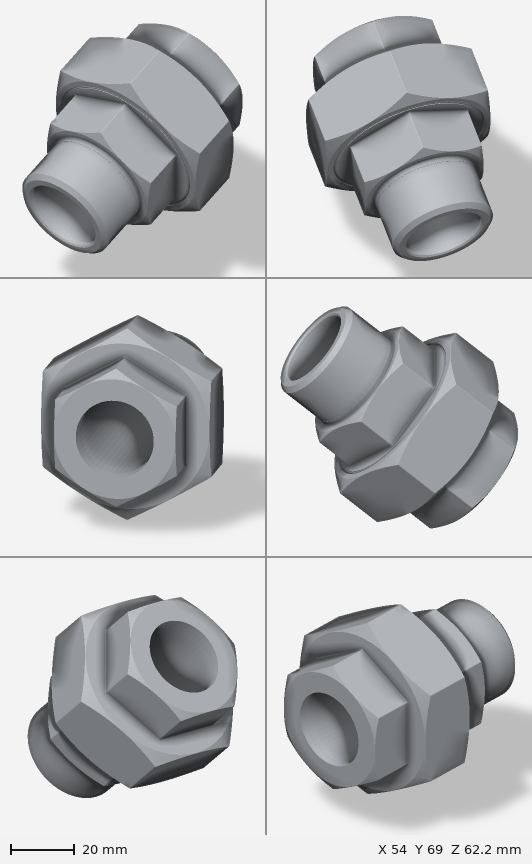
import cadquery as cq
import math

overall_length = 69.0
spigot_length = 18.5
body_front = 33.45
nut_length = 20.5
nut_back = body_front + nut_length

nut_flats = 54.0
nut_bevel_diameter = 53.75
body_flats = 39.0
body_bevel_diameter = 38.85
hex_bevel_angle = math.radians(30)
corner_trim = 0.1
root_radius = 0.5

thread_diameter = 33.25
neck_diameter = 33.45
neck_length = 1.7
tip_diameter = 30.3

bore_diameter = 25.0
bore_chamfer = 0.5

groove_outer_diameter = 50.0
collar_edge_diameter = 49.4
collar_step_diameter = 48.0
step_depth = 0.2
collar_chamfer = 0.35

pick_tolerance = 0.035


def corner_radius(flats):
    """Distance from the axis to a sharp corner of a hexagon."""
    return flats / math.cos(math.radians(30)) / 2


def revolve_about_axis(points):
    """Solid of revolution about Y from (radius, y) points."""
    return cq.Workplane("XY").polyline(points).close().revolve(360, (0, 0, 0), (0, 1, 0))


def bevelled_hexagon(flats, bevel_diameter, start, end):
    """Hexagonal prism along Y, corners on +/-Z turned down slightly and bevelled at both ends."""
    corner = corner_radius(flats)
    prism = (
        cq.Workplane("XZ", origin=(0, start, 0))
        .transformed(rotate=(0, 0, 30))
        .polygon(6, 2 * corner)
        .extrude(start - end)
    )
    outer = corner - corner_trim
    inner = bevel_diameter / 2
    drop = (outer - inner) * math.tan(hex_bevel_angle)
    envelope = revolve_about_axis(
        [
            (0, start),
            (inner, start),
            (outer, start + drop),
            (outer, end - drop),
            (inner, end),
            (0, end),
        ]
    )
    return prism.intersect(envelope)


def spigot():
    """Thread-size cylinder with a chamfered tip and a slightly larger neck."""
    thread = thread_diameter / 2
    neck = neck_diameter / 2
    tip = tip_diameter / 2
    neck_start = spigot_length - neck_length
    return revolve_about_axis(
        [
            (0, 0),
            (tip, 0),
            (thread, thread - tip),
            (thread, neck_start),
            (neck, neck_start),
            (neck, spigot_length),
            (0, spigot_length),
        ]
    )


def collar_groove():
    """Stepped groove: a shallow land beside the collar, then a chamfer down to a narrow floor."""
    outer = groove_outer_diameter / 2
    edge = collar_edge_diameter / 2
    step = collar_step_diameter / 2
    land = body_front + step_depth
    floor = land + collar_chamfer
    return revolve_about_axis(
        [
            (step, body_front),
            (outer, body_front),
            (outer, floor),
            (edge, floor),
            (edge - collar_chamfer, land),
            (step, land),
        ]
    )


def bore():
    """Through bore with a chamfered mouth at the spigot tip."""
    radius = bore_diameter / 2
    mouth = radius + bore_chamfer
    return revolve_about_axis(
        [
            (0, 0),
            (mouth, 0),
            (radius, bore_chamfer),
            (radius, overall_length),
            (0, overall_length),
        ]
    )


def fillet_root(part, station, radius):
    """Fillet the concave edges in the plane at a station, no further out than the radius."""
    reach = radius + pick_tolerance
    slab = cq.selectors.BoxSelector(
        (-reach, station - pick_tolerance, -reach),
        (reach, station + pick_tolerance, reach),
        boundingbox=True,
    )
    return part.edges(slab).fillet(root_radius)


nut = bevelled_hexagon(nut_flats, nut_bevel_diameter, body_front, nut_back)
body = bevelled_hexagon(body_flats, body_bevel_diameter, spigot_length, overall_length)
fitting = nut.union(body)
for shoulder in (body_front, nut_back):
    fitting = fillet_root(fitting, shoulder, corner_radius(body_flats))

fitting = fillet_root(fitting.union(spigot()), spigot_length, neck_diameter / 2)
result = fitting.cut(collar_groove()).cut(bore())